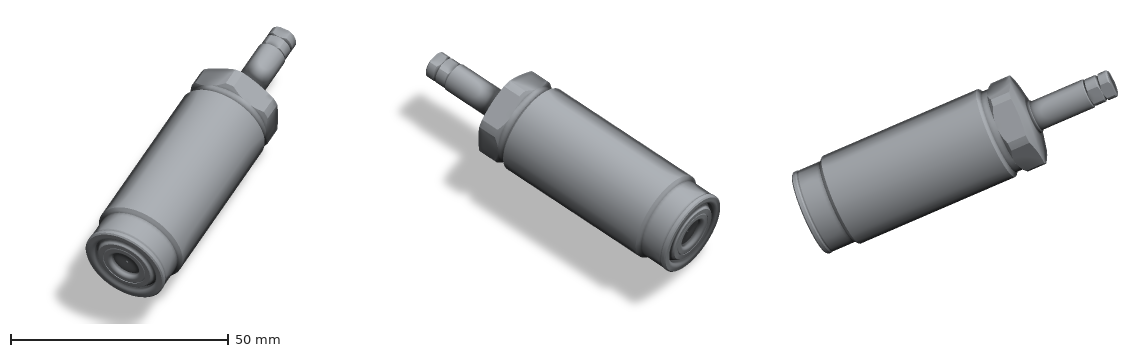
import cadquery as cq
import math


LENGTH = 77.0
BODY_DIA = 22.0
FRONT_NECK_DIA = 20.25
CAP_NECK_DIA = 20.2
BODY_RADIUS = BODY_DIA / 2
FRONT_NECK_RADIUS = FRONT_NECK_DIA / 2
CAP_NECK_RADIUS = CAP_NECK_DIA / 2

FRONT_SHOULDER_END = 8.0
HOUSING_END = 48.2
REAR_SHOULDER = 0.8
RIM_RADIUS = 10.25
RIM_CHAMFER = 0.3
RIM_LENGTH = 1.1
RIM_GROOVE_WIDTH = 0.7
RIM_GROOVE_RADIUS = 10.0
BORE_RADIUS = 8.0
MOUTH_FILLET = 0.9
BORE_DEPTH = FRONT_SHOULDER_END

INSERT_FACE_RADIUS = 6.8
INSERT_CHAMFER = 0.15
INSERT_CONE_LENGTH = 1.9
CORE_RADIUS = 5.55
CORE_EDGE_FILLET = 0.3
RECESS_RADIUS = 3.6
RECESS_FILLET = 0.8
RECESS_DEPTH = 1.5
PINHOLE_DIA = 0.6
PINHOLE_DEPTH = 1.55

CAP_NECK_END = 49.8
HEX_ACROSS_FLATS = 20.0
HEX_END = 55.4
CAP_SLOPE = 15.0
CAP_FACE_END = 57.0
COLLAR_RADIUS = 4.0
COLLAR_CHAMFER = 0.15
CAP_END = 57.6

STEM_RADIUS = 3.55
STEM_CHAMFER = 0.15
STEM_SHOULDER = 71.0
TIP_RADIUS = 3.3
TIP_FLATS_WIDTH = 5.55
TIP_CHAMFER = 0.3
TIP_GROOVE_DEPTH = 0.6
TIP_GROOVE_HALF_WIDTH = 0.4
TIP_GROOVE_CENTER = 74.3


def revolved(profile):
    """Revolve a closed profile, drawn with X as the radius, about the Y axis."""
    return profile.close().revolve(360, (0, 0, 0), (0, 1, 0))


def rod(radius, start, length):
    """A solid cylinder on the Y axis running from Y = start toward +Y."""
    return cq.Workplane("XZ", origin=(0, start, 0)).circle(radius).extrude(-length)


def make_housing():
    front_shoulder = BODY_RADIUS - FRONT_NECK_RADIUS
    groove_start = RIM_LENGTH
    groove_end = RIM_LENGTH + RIM_GROOVE_WIDTH
    fillet_turn = MOUTH_FILLET * (1 - math.sqrt(0.5))
    profile = (
        cq.Workplane("XY")
        .moveTo(0, BORE_DEPTH)
        .lineTo(BORE_RADIUS, BORE_DEPTH)
        .lineTo(BORE_RADIUS, MOUTH_FILLET)
        .threePointArc(
            (BORE_RADIUS + fillet_turn, fillet_turn),
            (BORE_RADIUS + MOUTH_FILLET, 0),
        )
        .lineTo(RIM_RADIUS - RIM_CHAMFER, 0)
        .lineTo(RIM_RADIUS, RIM_CHAMFER)
        .lineTo(RIM_RADIUS, groove_start)
        .lineTo(RIM_GROOVE_RADIUS, (groove_start + groove_end) / 2)
        .lineTo(FRONT_NECK_RADIUS, groove_end)
        .lineTo(FRONT_NECK_RADIUS, FRONT_SHOULDER_END - front_shoulder)
        .lineTo(BODY_RADIUS, FRONT_SHOULDER_END)
        .lineTo(BODY_RADIUS, HOUSING_END - REAR_SHOULDER)
        .lineTo(CAP_NECK_RADIUS, HOUSING_END)
        .lineTo(0, HOUSING_END)
    )
    return revolved(profile)


def make_insert():
    profile = (
        cq.Workplane("XY")
        .moveTo(CORE_RADIUS, 0)
        .lineTo(INSERT_FACE_RADIUS, 0)
        .lineTo(INSERT_FACE_RADIUS + INSERT_CHAMFER, INSERT_CHAMFER)
        .lineTo(BORE_RADIUS, INSERT_CONE_LENGTH)
        .lineTo(BORE_RADIUS, BORE_DEPTH)
        .lineTo(CORE_RADIUS, BORE_DEPTH)
    )
    return revolved(profile)


def make_core():
    edge_turn = CORE_EDGE_FILLET * (1 - math.sqrt(0.5))
    recess_turn = RECESS_FILLET * (1 - math.sqrt(0.5))
    profile = (
        cq.Workplane("XY")
        .moveTo(0, RECESS_DEPTH)
        .lineTo(RECESS_RADIUS, RECESS_DEPTH)
        .lineTo(RECESS_RADIUS, RECESS_FILLET)
        .threePointArc(
            (RECESS_RADIUS + recess_turn, recess_turn),
            (RECESS_RADIUS + RECESS_FILLET, 0),
        )
        .lineTo(CORE_RADIUS - CORE_EDGE_FILLET, 0)
        .threePointArc(
            (CORE_RADIUS - edge_turn, edge_turn),
            (CORE_RADIUS, CORE_EDGE_FILLET),
        )
        .lineTo(CORE_RADIUS, BORE_DEPTH)
        .lineTo(0, BORE_DEPTH)
    )
    pinhole = rod(PINHOLE_DIA / 2, RECESS_DEPTH, PINHOLE_DEPTH)
    return revolved(profile).cut(pinhole)


def make_cap():
    cone_rise = math.tan(math.radians(CAP_SLOPE))
    face_radius = BODY_RADIUS - (CAP_FACE_END - HEX_END) / cone_rise
    corner_chamfer = BODY_RADIUS - CAP_NECK_RADIUS
    head_profile = (
        cq.Workplane("XY")
        .moveTo(0, CAP_NECK_END)
        .lineTo(CAP_NECK_RADIUS, CAP_NECK_END)
        .lineTo(BODY_RADIUS, CAP_NECK_END + corner_chamfer)
        .lineTo(BODY_RADIUS, HEX_END)
        .lineTo(face_radius, CAP_FACE_END)
        .lineTo(COLLAR_RADIUS, CAP_FACE_END)
        .lineTo(COLLAR_RADIUS, CAP_END - COLLAR_CHAMFER)
        .lineTo(COLLAR_RADIUS - COLLAR_CHAMFER, CAP_END)
        .lineTo(0, CAP_END)
    )
    hexagon = (
        cq.Workplane("XZ", origin=(0, CAP_NECK_END, 0))
        .polygon(6, HEX_ACROSS_FLATS, circumscribed=True)
        .extrude(CAP_NECK_END - CAP_END)
    )
    neck = rod(CAP_NECK_RADIUS, HOUSING_END, CAP_NECK_END - HOUSING_END)
    return revolved(head_profile).intersect(hexagon).union(neck)


def make_stem():
    waist_radius = TIP_RADIUS - TIP_GROOVE_DEPTH
    profile = (
        cq.Workplane("XY")
        .moveTo(0, CAP_END)
        .lineTo(STEM_RADIUS, CAP_END)
        .lineTo(STEM_RADIUS, STEM_SHOULDER - STEM_CHAMFER)
        .lineTo(STEM_RADIUS - STEM_CHAMFER, STEM_SHOULDER)
        .lineTo(0, STEM_SHOULDER)
    )
    tip_profile = (
        cq.Workplane("XY")
        .moveTo(0, STEM_SHOULDER)
        .lineTo(waist_radius, STEM_SHOULDER)
        .lineTo(TIP_RADIUS, STEM_SHOULDER + TIP_GROOVE_HALF_WIDTH)
        .lineTo(TIP_RADIUS, TIP_GROOVE_CENTER - TIP_GROOVE_HALF_WIDTH)
        .lineTo(waist_radius, TIP_GROOVE_CENTER)
        .lineTo(TIP_RADIUS, TIP_GROOVE_CENTER + TIP_GROOVE_HALF_WIDTH)
        .lineTo(TIP_RADIUS, LENGTH - TIP_CHAMFER)
        .lineTo(TIP_RADIUS - TIP_CHAMFER, LENGTH)
        .lineTo(0, LENGTH)
    )
    flats = cq.Workplane("XY", origin=(0, (STEM_SHOULDER + LENGTH) / 2, 0)).box(
        2 * TIP_RADIUS, LENGTH - STEM_SHOULDER, TIP_FLATS_WIDTH
    )
    return revolved(profile).union(revolved(tip_profile).intersect(flats))


housing = make_housing()
insert = make_insert()
core = make_core()
cap = make_cap()
stem = make_stem()

result = cq.Compound.makeCompound([housing.val(), insert.val(), core.val(), cap.val(), stem.val()])